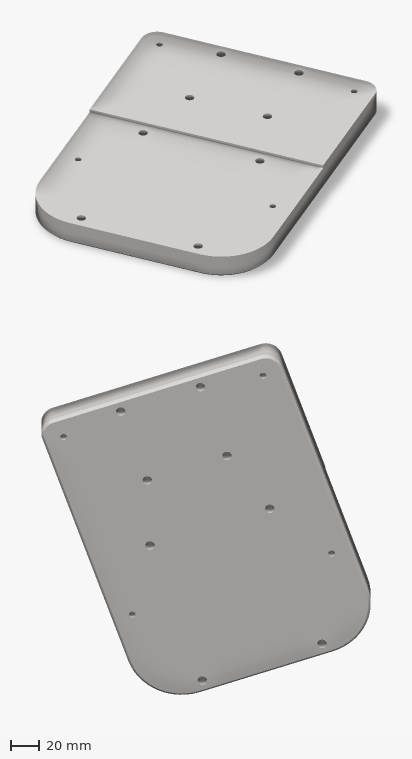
import cadquery as cq

width = 180.0
length = 240.0
thickness = 20.0
front_radius = 40.0
back_radius = 12.0
bottom_chamfer = 2.0

step_y = 12.0
step_depth = 2.5

small_diameter = 4.8
large_diameter = 6.7
small_pitch = 150.0
small_center_y = 30.0
back_pitch_x = 60.0
back_pitch_y = 58.0
back_center_y = 81.8
front_pitch_x = 90.0
front_pitch_y = 114.0
front_center_y = -54.0


def make_plate():
    """Rounded plate, centred on X and Y, with a chamfered bottom edge."""
    plate = cq.Workplane("XY").box(width, length, thickness, centered=(True, True, False))
    plate = plate.edges("|Z and <Y").fillet(front_radius)
    plate = plate.edges("|Z and >Y").fillet(back_radius)
    return plate.faces("<Z").edges().chamfer(bottom_chamfer)


def make_step_cut():
    """Block that lowers the top surface in front of the step line."""
    cut_length = step_y + length / 2
    return (
        cq.Workplane("XY")
        .box(width, cut_length, step_depth, centered=(True, False, False))
        .translate((0, -length / 2, thickness - step_depth))
    )


def make_hole_group(diameter, pitch_x, pitch_y, center_y):
    """Four through-hole cylinders at the corners of a rectangle."""
    return (
        cq.Workplane("XY")
        .center(0, center_y)
        .rect(pitch_x, pitch_y, forConstruction=True)
        .vertices()
        .circle(diameter / 2)
        .extrude(thickness)
    )


result = (
    make_plate()
    .cut(make_step_cut())
    .cut(make_hole_group(small_diameter, small_pitch, small_pitch, small_center_y))
    .cut(make_hole_group(large_diameter, back_pitch_x, back_pitch_y, back_center_y))
    .cut(make_hole_group(large_diameter, front_pitch_x, front_pitch_y, front_center_y))
)